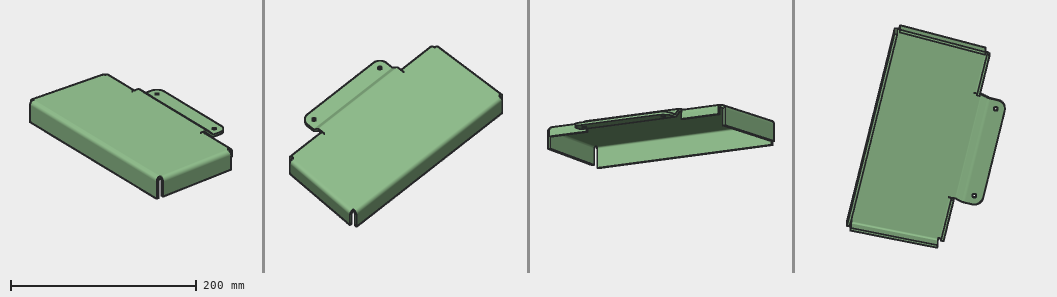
import cadquery as cq
import math

length = 231.5
depth = 136.9
height = 26.2
sheet = 3.0
inner_radius = 2.0
outer_radius = inner_radius + sheet

plate_front = outer_radius
plate_front_half = length / 2 - outer_radius
side_rear = 100.8
plate_rear_half = 107.7

side_drop = 23.2
rear_face = 106.5
rear_bend = rear_face - outer_radius
rear_half = 107.2
rear_drop = 11.1

tab_half = 60.0
tab_step = 8.0
tab_knee = 118.0
tab_corner_radius = 10.0
hole_diameter = 4.2
slit = 0.2


def flange_profile(plane, drop):
    """Quarter bend and downward leg, starting at the plane's origin."""
    mid_angle = math.radians(45)

    def on_bend(radius):
        return (radius * math.sin(mid_angle), radius * math.cos(mid_angle) - outer_radius)

    return (
        cq.Workplane(plane)
        .moveTo(0, 0)
        .threePointArc(on_bend(outer_radius), (outer_radius, -outer_radius))
        .lineTo(outer_radius, -drop)
        .lineTo(inner_radius, -drop)
        .lineTo(inner_radius, -outer_radius)
        .threePointArc(on_bend(inner_radius), (0, -sheet))
        .close()
    )


def top_plate():
    right_edge = [
        (plate_front_half, plate_front),
        (plate_rear_half, side_rear),
        (rear_half, side_rear),
        (rear_half, rear_bend),
        (tab_half + slit, rear_bend),
        (tab_half + slit, side_rear),
        (tab_half, side_rear),
    ]
    left_edge = [(-x, y) for x, y in reversed(right_edge)]
    return cq.Workplane("XY").polyline(right_edge + left_edge).close().extrude(-sheet)


def front_flange():
    plane = cq.Plane(origin=(plate_front_half, plate_front, 0), xDir=(0, -1, 0), normal=(-1, 0, 0))
    return flange_profile(plane, height).extrude(2 * plate_front_half)


def rear_flange():
    """Right-hand piece of the rear flange, beside the tab."""
    plane = cq.Plane(origin=(tab_half + slit, rear_bend, 0), xDir=(0, 1, 0), normal=(1, 0, 0))
    return flange_profile(plane, rear_drop).extrude(rear_half - tab_half - slit)


def side_flange():
    """Right-hand flange along the tapered edge, with ends square to Y."""
    run_x = plate_rear_half - plate_front_half
    run_y = side_rear - plate_front
    overrun = 0.05
    start = (plate_rear_half + overrun * run_x, side_rear + overrun * run_y, 0)
    plane = cq.Plane(origin=start, xDir=(run_y, -run_x, 0), normal=(-run_x, -run_y, 0))
    flange = flange_profile(plane, side_drop).extrude((1 + 2 * overrun) * math.hypot(run_x, run_y))
    trim = cq.Workplane("XY").box(2 * length, run_y, 2 * height).translate((0, plate_front + run_y / 2, 0))
    return flange.intersect(trim)


def mounting_tab():
    """Flat, 45 degree slope and lower flat, with rounded bends."""
    upper_knee = tab_knee - tab_step
    underside_shift = sheet * math.tan(math.radians(22.5))
    tab = (
        cq.Workplane("YZ", origin=(-tab_half, 0, 0))
        .polyline([
            (side_rear, 0),
            (upper_knee, 0),
            (tab_knee, -tab_step),
            (depth, -tab_step),
            (depth, -tab_step - sheet),
            (tab_knee - underside_shift, -tab_step - sheet),
            (upper_knee - underside_shift, -sheet),
            (side_rear, -sheet),
        ])
        .close()
        .extrude(2 * tab_half)
    )

    def bend_edge(y, z):
        return cq.selectors.NearestToPointSelector((0, y, z))

    tab = tab.edges(bend_edge(upper_knee, 0)).fillet(outer_radius)
    tab = tab.edges(bend_edge(upper_knee - underside_shift, -sheet)).fillet(inner_radius)
    tab = tab.edges(bend_edge(tab_knee, -tab_step)).fillet(inner_radius)
    tab = tab.edges(bend_edge(tab_knee - underside_shift, -tab_step - sheet)).fillet(outer_radius)
    tab = tab.faces(">Y").edges("|Z").fillet(tab_corner_radius)

    hole_x = tab_half - tab_corner_radius
    hole_y = depth - tab_corner_radius
    holes = (
        cq.Workplane("XY")
        .pushPoints([(-hole_x, hole_y), (hole_x, hole_y)])
        .circle(hole_diameter / 2)
        .extrude(-height)
    )
    return tab.cut(holes)


result = top_plate().union(front_flange()).union(mounting_tab())
for flange in (side_flange(), rear_flange()):
    result = result.union(flange).union(flange.mirror("YZ"))